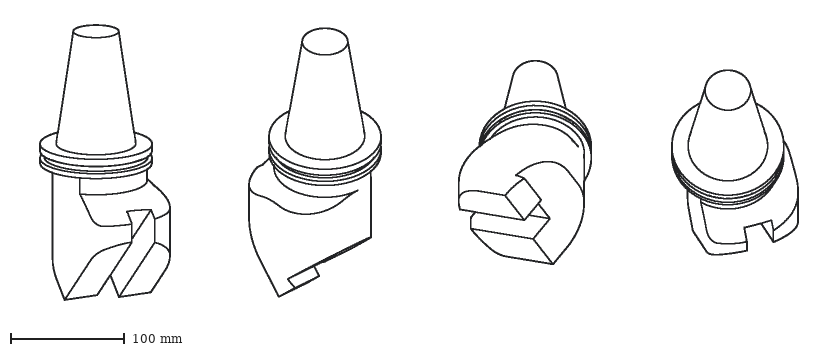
import cadquery as cq
import math


overall_height = 247.5
shank_height = 102.8
shank_top_radius = 20.0
shank_base_radius = 69.8 / 2
shank_collar_height = 1.2

flange_radius = 98.5 / 2
flange_height = 17.5
groove_radius = 91.4 / 2
groove_top = -6.5
groove_bottom = -13.0
groove_flare = 1.2

neck_radius = 44.8
head_radius = 67.3
shoulder_z = -33.7
front_y = -32.5
back_y = 57.0
front_left_radius = -front_y
back_corner_radius = 40.0
front_right_radius = 12.0

tip_length = 24.8
tip_projection = 10
apex_x = 2.2
lowest_z = shank_height - overall_height
apex_z = lowest_z + tip_projection * math.sin(math.radians(45))
slot_start_y = 0
slot_end_y = 25.3


def revolved(points):
    """Turn a closed (radius, z) outline about the spindle axis."""
    return cq.Workplane("XZ").polyline(points).close().revolve(360, (0, 0), (0, 1))


def make_shank_and_flange():
    return revolved([
        (0, shank_height),
        (shank_top_radius, shank_height),
        (shank_base_radius, shank_collar_height),
        (shank_base_radius, 0),
        (flange_radius, 0),
        (flange_radius, groove_top),
        (groove_radius, groove_top - groove_flare),
        (groove_radius, groove_bottom + groove_flare),
        (flange_radius, groove_bottom),
        (flange_radius, -flange_height),
        (0, -flange_height),
    ])


def blend_on_head_circle(line_y, radius):
    """Return the centre and head-circle tangent point of a corner blending into the line at line_y."""
    center_distance = head_radius - radius
    center_y = line_y - math.copysign(radius, line_y)
    center_x = math.sqrt(center_distance**2 - center_y**2)
    stretch = head_radius / center_distance
    return (center_x, center_y), (center_x * stretch, center_y * stretch)


def arc_middle(center, radius, start, end):
    """Return the middle point of the minor arc from start to end."""
    dx = start[0] + end[0] - 2 * center[0]
    dy = start[1] + end[1] - 2 * center[1]
    length = math.hypot(dx, dy)
    return center[0] + radius * dx / length, center[1] + radius * dy / length


def make_head_prism():
    """Extrude the plan outline of the head, with its rounded corners."""
    left_x = -neck_radius
    front_left = (left_x + front_left_radius, front_y)
    front_left_center = (front_left[0], front_y + front_left_radius)
    left_front = (left_x, front_left_center[1])
    left_back = (left_x, back_y - back_corner_radius)
    back_left = (left_x + back_corner_radius, back_y)
    back_left_center = (back_left[0], left_back[1])
    front_center, right_front = blend_on_head_circle(front_y, front_right_radius)
    back_center, right_back = blend_on_head_circle(back_y, back_corner_radius)
    front_right = (front_center[0], front_y)
    back_right = (back_center[0], back_y)
    return (
        cq.Workplane("XY").workplane(offset=lowest_z)
        .moveTo(*front_left)
        .lineTo(*front_right)
        .threePointArc(arc_middle(front_center, front_right_radius, front_right, right_front), right_front)
        .threePointArc((head_radius, 0), right_back)
        .threePointArc(arc_middle(back_center, back_corner_radius, right_back, back_right), back_right)
        .lineTo(*back_left)
        .threePointArc(arc_middle(back_left_center, back_corner_radius, back_left, left_back), left_back)
        .lineTo(*left_front)
        .threePointArc(arc_middle(front_left_center, front_left_radius, left_front, front_left), front_left)
        .close()
        .extrude(-flange_height - lowest_z)
    )


def make_shoulder_envelope():
    """Round neck that opens into a 45 degree cone."""
    shoulder_drop = head_radius - neck_radius
    return revolved([
        (0, -flange_height),
        (neck_radius, -flange_height),
        (neck_radius, shoulder_z),
        (head_radius, shoulder_z - shoulder_drop),
        (head_radius, lowest_z),
        (0, lowest_z),
    ])


def angled_bar(left, right, bottom, top, y_start, y_end):
    """Bar along Y, sized along the slanted axes: right = up the lower right face, top = up the lower left."""
    return (
        cq.Workplane("XY")
        .box(right - left, y_end - y_start, top - bottom, centered=False)
        .translate((left, y_start, bottom))
        .rotate((0, 0, 0), (0, 1, 0), -45)
        .translate((apex_x, 0, apex_z))
    )


def make_head():
    envelope = make_head_prism().intersect(make_shoulder_envelope())
    wedge = angled_bar(0, overall_height, 0, overall_height, front_y, back_y)
    slot = angled_bar(0, overall_height, 0, tip_length, slot_start_y, slot_end_y)
    tip = angled_bar(-tip_projection, 0, 0, tip_length, slot_end_y, back_y)
    return envelope.intersect(wedge.cut(slot).union(tip))


result = make_shank_and_flange().union(make_head())